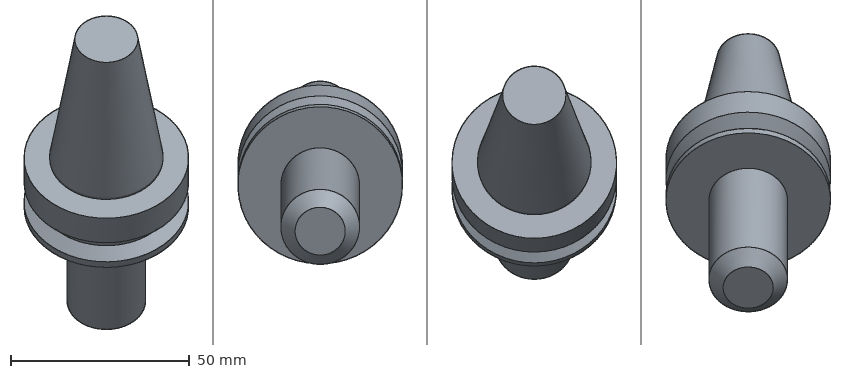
import cadquery as cq
import math

gauge_diameter = 31.75
taper_ratio = 7 / 24
taper_length = 48.4
gauge_land_length = 0.5

flange_diameter = 46.0
flange_top_z = -gauge_land_length
upper_rim_height = 10.1
lower_rim_height = 2.3
flange_height = 20.3
groove_diameter = 38.0
groove_flank_angle = 30.0

nose_diameter = 22.0
nose_length = 42.7
nose_chamfer = 4.0

gauge_radius = gauge_diameter / 2
taper_tip_radius = (gauge_diameter - taper_ratio * taper_length) / 2
flange_radius = flange_diameter / 2
groove_radius = groove_diameter / 2
nose_radius = nose_diameter / 2

flange_bottom_z = flange_top_z - flange_height
groove_top_z = flange_top_z - upper_rim_height
groove_bottom_z = flange_bottom_z + lower_rim_height
groove_flank_height = (flange_radius - groove_radius) * math.tan(math.radians(groove_flank_angle))
nose_end_z = flange_bottom_z - nose_length


def revolve_profile(points):
    """Revolve a closed (radius, z) profile a full turn about the Z axis."""
    return cq.Workplane("XZ").polyline(points).close().revolve(360, (0, 0, 0), (0, 1, 0))


def make_holder():
    """Build taper, grooved flange and nose as one revolved body."""
    taper = [
        (0, taper_length),
        (taper_tip_radius, taper_length),
        (gauge_radius, 0),
        (gauge_radius, flange_top_z),
    ]
    flange = [
        (flange_radius, flange_top_z),
        (flange_radius, groove_top_z),
        (groove_radius, groove_top_z - groove_flank_height),
        (groove_radius, groove_bottom_z + groove_flank_height),
        (flange_radius, groove_bottom_z),
        (flange_radius, flange_bottom_z),
    ]
    nose = [
        (nose_radius, flange_bottom_z),
        (nose_radius, nose_end_z + nose_chamfer),
        (nose_radius - nose_chamfer, nose_end_z),
        (0, nose_end_z),
    ]
    return revolve_profile(taper + flange + nose)


result = make_holder()